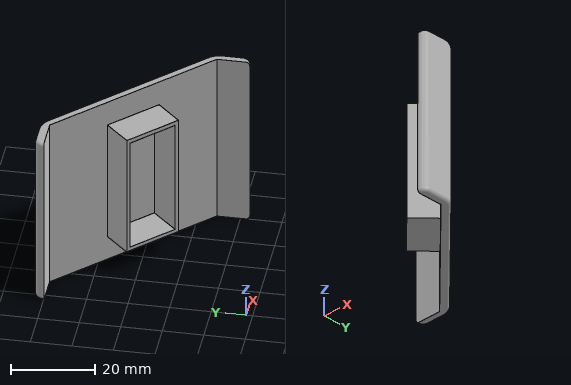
import cadquery as cq
import math

side = 44.5
height = 45.0
thickness = 2.4
flange_inner = 7.9
bend_radius = 5.0
end_radius = 2.0
rim_radius = 1.0

boss_width = 14.95
boss_height = 32.0
boss_depth = 8.0
pocket_width = 13.0
pocket_height = 29.8
pocket_depth = boss_depth
pocket_draft = 3.0
floor_inset = pocket_depth * math.tan(math.radians(pocket_draft))

half = side / 2
inner = half - thickness
inner_bend = flange_inner - half
outer_bend = inner_bend + thickness * math.tan(math.radians(45 / 2))


def make_plate():
    plate = (
        cq.Workplane("XY")
        .workplane(offset=-height / 2)
        .moveTo(-half, inner)
        .lineTo(-half, half)
        .lineTo(outer_bend, half)
        .lineTo(half, outer_bend)
        .lineTo(half, -half)
        .lineTo(inner, -half)
        .lineTo(inner, inner_bend)
        .lineTo(inner_bend, inner)
        .close()
        .extrude(height)
    )
    flange_ends = [(-half, half), (half, -half)]
    bends = [(outer_bend, half), (half, outer_bend)]
    for corners, radius in ((flange_ends, end_radius), (bends, bend_radius)):
        for x, y in corners:
            plate = plate.edges(cq.selectors.NearestToPointSelector((x, y, 0))).fillet(radius)

    outer_middle = (half + outer_bend) / 2
    for z in (-height / 2, height / 2):
        rim = cq.selectors.NearestToPointSelector((outer_middle, outer_middle, z))
        plate = plate.edges(rim).fillet(rim_radius)
    return plate


web_middle = (inner + inner_bend) / 2
web_face = cq.Plane(origin=(web_middle, web_middle, 0), xDir=(1, -1, 0), normal=(-1, -1, 0))


def make_boss():
    root = thickness / 2
    return (
        cq.Workplane(web_face)
        .workplane(offset=-root)
        .rect(boss_width, boss_height)
        .extrude(boss_depth + root)
    )


def make_pocket():
    return (
        cq.Workplane(web_face)
        .workplane(offset=boss_depth)
        .rect(pocket_width, pocket_height)
        .workplane(offset=-pocket_depth)
        .rect(pocket_width - 2 * floor_inset, pocket_height - 2 * floor_inset)
        .loft(ruled=True)
    )


result = make_plate().union(make_boss()).cut(make_pocket())